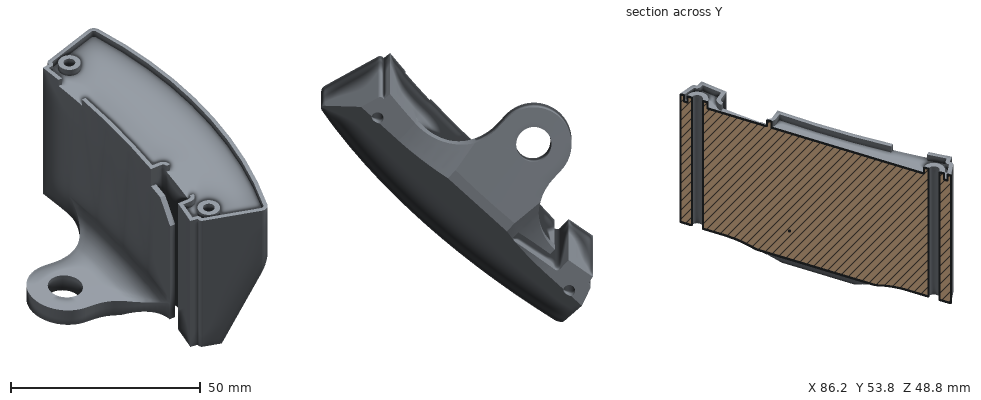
import cadquery as cq
import math

total_height = 48.8
housing_bottom = 4.9
housing_height = total_height - housing_bottom

back_y = 43.7
back_radius = 131.0
front_y = 18.9
front_radius = 245.6
side_back_x = 43.6
side_foot_x = 37.9
shoulder_y = 18.3
shoulder_x = 36.8
post_corner_x = 36.5
back_corner_radius = 2.1
shoulder_radius = 1.0

rear_edge_height = 1.4
slope_foot_y = 21.6

rim_thickness = 1.1
floor_depth = 2.1
floor_z = total_height - floor_depth
boss_x = 34.5
boss_y = 23.2
boss_diameter = 5.95
screw_hole_diameter = 3.1
notch_left = -30.1
notch_right = -20.2

slot_left = 13.3
slot_right = 28.7
slot_depth = 4.2
slot_corner_radius = 1.0
tab_end = 24.05
tab_thickness = 1.55
tab_overlap = 0.9
tab_drop = 5.95
tab_chamfer = 5.7

arm_half_width = 10.1
arm_hole_diameter = 9.3
arm_thickness = 5.0
arm_slope = math.radians(5)
arm_straight = 3.1
flare_reach = 26.2
web_radius = 6.0
web_overlap = 0.9
foot_half_width = 26.7
foot_flat_half_width = 10.6

margin = 4.3


def arc_y(x, crown_y, radius):
    """Y at x on an arc centred on the YZ plane, with its crown at crown_y."""
    return crown_y - radius + math.sqrt(radius**2 - x**2)


def front_wall_y(x, inset=0.0):
    """Y of the curved front face, or of a concentric face set in behind it."""
    return arc_y(x, front_y + inset, front_radius + inset)


def sector(x_range, inset_range, z_range):
    """Curved slab between two faces concentric with the front face."""
    x0, x1 = x_range
    inner, outer = inset_range
    z0, z1 = z_range
    middle = (x0 + x1) / 2
    return (
        cq.Workplane("XY", origin=(0, 0, z0))
        .moveTo(x0, front_wall_y(x0, inner))
        .threePointArc((middle, front_wall_y(middle, inner)), (x1, front_wall_y(x1, inner)))
        .lineTo(x1, front_wall_y(x1, outer))
        .threePointArc((middle, front_wall_y(middle, outer)), (x0, front_wall_y(x0, outer)))
        .close()
        .extrude(z1 - z0)
    )


def round_corners(body, corners, radius):
    """Fillet the vertical edges that stand at the given XY corners."""
    reach = 0.1
    for x, y in corners:
        edge = cq.selectors.BoxSelector(
            (x - reach, y - reach, -total_height), (x + reach, y + reach, 2 * total_height)
        )
        body = body.edges("|Z").edges(edge).fillet(radius)
    return body


def make_housing():
    """Solid housing block, before the slot, the recess and the rear slope are cut."""
    back_end_y = arc_y(side_back_x, back_y, back_radius)
    post_corner_y = front_wall_y(post_corner_x)
    housing = (
        cq.Workplane("XY", origin=(0, 0, housing_bottom))
        .moveTo(-side_back_x, back_end_y)
        .threePointArc((0, back_y), (side_back_x, back_end_y))
        .lineTo(side_foot_x, shoulder_y)
        .lineTo(shoulder_x, shoulder_y)
        .lineTo(post_corner_x, post_corner_y)
        .threePointArc((0, front_y), (-post_corner_x, post_corner_y))
        .lineTo(-shoulder_x, shoulder_y)
        .lineTo(-side_foot_x, shoulder_y)
        .close()
        .extrude(housing_height)
    )
    back_corners = [(x, back_end_y) for x in (-side_back_x, side_back_x)]
    shoulders = [(x, shoulder_y) for x in (-side_foot_x, side_foot_x)]
    housing = round_corners(housing, back_corners, back_corner_radius)
    return round_corners(housing, shoulders, shoulder_radius)


def make_slot():
    """Slot through the full height and open to the front, with rounded inner corners."""
    slot = sector((slot_left, slot_right), (-margin, slot_depth), (0, total_height))
    inner_corners = [(x, front_wall_y(x, slot_depth)) for x in (slot_left, slot_right)]
    return round_corners(slot, inner_corners, slot_corner_radius)


def make_recess(slotted_housing):
    """Pocket above the floor, leaving the rim along the housing outline."""
    return (
        slotted_housing.faces(">Z")
        .wires()
        .toPending()
        .workplane()
        .offset2D(-rim_thickness)
        .extrude(-floor_depth, combine=False)
    )


def make_rim_gaps():
    """Breaks in the rim: the front notch and the stretch along the slot back."""
    notch = sector(
        (notch_left, notch_right),
        (-rim_thickness, 2 * rim_thickness),
        (floor_z, total_height),
    )
    slot_gap = sector(
        (slot_left + slot_corner_radius, slot_right - slot_corner_radius),
        (slot_depth - rim_thickness, slot_depth + 2 * rim_thickness),
        (floor_z, total_height),
    )
    return notch.union(slot_gap)


def arm_plan():
    """Plan of the arm: rounded tip, straight neck and a flare out to the front wall."""
    flare_end_y = front_wall_y(flare_reach)
    run = flare_reach - arm_half_width
    rise = flare_end_y - arm_straight
    flare_radius = (run**2 + rise**2) / (2 * run)
    diagonal = flare_radius * math.sqrt(0.5)
    flare_mid_x = arm_half_width + flare_radius - diagonal
    flare_mid_y = arm_straight + diagonal
    return (
        cq.Workplane("XY")
        .moveTo(-arm_half_width, 0)
        .threePointArc((0, -arm_half_width), (arm_half_width, 0))
        .lineTo(arm_half_width, arm_straight)
        .threePointArc((flare_mid_x, flare_mid_y), (flare_reach, flare_end_y))
        .lineTo(flare_reach, back_y)
        .lineTo(-flare_reach, back_y)
        .lineTo(-flare_reach, flare_end_y)
        .threePointArc((-flare_mid_x, flare_mid_y), (-arm_half_width, arm_straight))
        .close()
        .extrude(total_height)
    )


def foot_profile():
    """Front profile of the foot, whose flanks curve up into the housing underside."""
    run = foot_half_width - foot_flat_half_width
    flank_radius = (run**2 + housing_bottom**2) / (2 * housing_bottom)
    half_run = run / 2
    flank_mid_x = foot_half_width - half_run
    flank_mid_z = housing_bottom - flank_radius + math.sqrt(flank_radius**2 - half_run**2)
    return (
        cq.Workplane("XZ", origin=(0, -total_height, 0))
        .moveTo(-foot_flat_half_width, 0)
        .lineTo(foot_flat_half_width, 0)
        .threePointArc((flank_mid_x, flank_mid_z), (foot_half_width, housing_bottom))
        .lineTo(foot_half_width, total_height)
        .lineTo(-foot_half_width, total_height)
        .lineTo(-foot_half_width, housing_bottom)
        .threePointArc((-flank_mid_x, flank_mid_z), (-foot_flat_half_width, 0))
        .close()
        .extrude(-2 * total_height)
    )


def make_tab():
    """Continuation of the front wall across the slot, with a chamfered top corner.

    It runs down to the underside of the foot.
    """
    tab_top = total_height - tab_drop
    tab = sector((slot_left - tab_overlap, tab_end), (0, tab_thickness), (0, tab_top))
    corner = (
        cq.Workplane("XZ")
        .moveTo(tab_end, tab_top)
        .lineTo(tab_end - tab_chamfer, tab_top)
        .lineTo(tab_end, tab_top - tab_chamfer)
        .close()
        .extrude(-back_y)
    )
    return tab.cut(corner).intersect(foot_profile())


def make_arm():
    """Sloped mounting arm, its web on the front wall and its foot below the housing."""
    reach = front_y + arm_half_width + margin
    web_tangent = web_radius / math.tan((math.pi / 2 - arm_slope) / 2)
    wall_top_z = arm_thickness + web_tangent
    web_end_y = front_y - web_tangent * math.cos(arm_slope)
    web_end_z = arm_thickness + web_tangent * math.sin(arm_slope)
    mid_angle = math.pi / 4 + arm_slope / 2
    web_mid_y = front_y - web_radius + web_radius * math.cos(mid_angle)
    web_mid_z = wall_top_z - web_radius * math.sin(mid_angle)
    rise = reach * math.tan(arm_slope)
    axis_y = front_y - front_radius
    turn = 4 * math.degrees(math.asin(foot_half_width / front_radius))
    section_sweep = (
        cq.Workplane("YZ")
        .moveTo(back_y, 0)
        .lineTo(front_y, 0)
        .lineTo(front_y - reach, rise)
        .lineTo(front_y - reach, arm_thickness + rise)
        .lineTo(web_end_y, web_end_z)
        .threePointArc((web_mid_y, web_mid_z), (front_y, wall_top_z))
        .lineTo(front_y + web_overlap, wall_top_z)
        .lineTo(front_y + web_overlap, arm_thickness)
        .lineTo(back_y, arm_thickness)
        .close()
        .revolve(turn, (axis_y, 0), (axis_y, 1))
        .rotate((0, axis_y, 0), (0, axis_y, 1), -turn / 2)
    )
    return section_sweep.intersect(arm_plan()).intersect(foot_profile())


def make_rear_slope():
    """Wedge behind the sloped rear face."""
    edge_z = total_height - rear_edge_height
    gradient = (back_y - slope_foot_y) / edge_z
    return (
        cq.Workplane("YZ", origin=(-side_back_x - margin, 0, 0))
        .moveTo(slope_foot_y - margin * gradient, -margin)
        .lineTo(back_y + margin * gradient, edge_z + margin)
        .lineTo(back_y + margin * gradient, -margin)
        .close()
        .extrude(2 * (side_back_x + margin))
    )


def make_arm_hole():
    """Bolt hole square to the sloped arm."""
    middle_z = arm_thickness / 2 + front_y * math.tan(arm_slope)
    hole = cq.Workplane("XY").circle(arm_hole_diameter / 2).extrude(4 * arm_thickness, both=True)
    return hole.rotate((0, 0, 0), (1, 0, 0), -math.degrees(arm_slope)).translate((0, 0, middle_z))


def make_posts(diameter, bottom_z):
    """Pair of round posts at the screw positions, reaching the top of the housing."""
    return (
        cq.Workplane("XY", origin=(0, 0, bottom_z))
        .pushPoints([(-boss_x, boss_y), (boss_x, boss_y)])
        .circle(diameter / 2)
        .extrude(total_height - bottom_z)
    )


slot = make_slot()
rear_slope = make_rear_slope()

slotted_housing = make_housing().cut(slot)
housing = slotted_housing.cut(make_recess(slotted_housing)).cut(make_rim_gaps())
housing = housing.union(make_posts(boss_diameter, floor_z)).cut(rear_slope)

arm_zone = sector((slot_left, tab_end), (-margin, tab_thickness), (0, total_height))
arm = make_arm().cut(slot.cut(arm_zone)).cut(rear_slope)

result = (
    housing.union(make_tab())
    .union(arm)
    .cut(make_posts(screw_hole_diameter, 0))
    .cut(make_arm_hole())
)